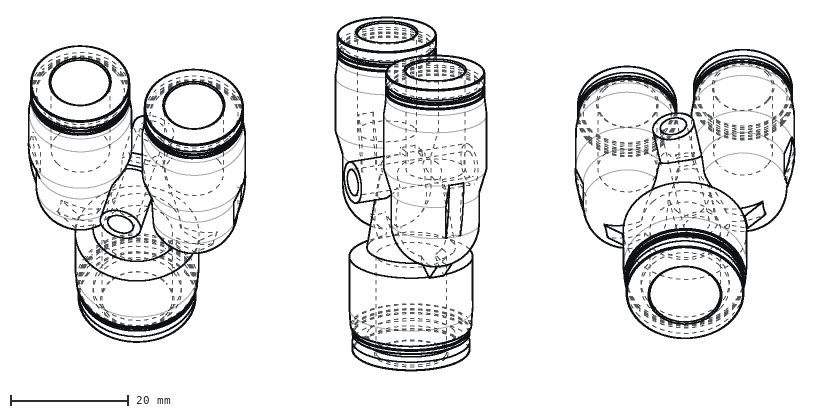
import cadquery as cq
import math

HEIGHT = 55.0
ARM_X = 10.0

NECK_DIA = 15.0
EDGE_BREAK = 0.15
SEAM_WIDTH = 0.2
SEAM_DEPTH = 0.1
MOUTH_CHAMFER = 0.25
BORE_DEPTH = 18.0

ARM_RING_DIA = 16.8
ARM_BORE_DIA = 10.0
ARM_CROWN = 0.45
ARM_RING_END = 2.3
ARM_COLLAR_START = 3.05
ARM_SEAM = 3.85
ARM_TAPER_START = 5.05

ARM_DIA = 17.5
ARM_LOWER_DIA = 15.0
ARM_TAPER_Z = 46.95
ARM_SHOULDER_TOP_Z = 37.25
ARM_SHOULDER_BASE_Z = 32.9
ARM_DOME_Z = 27.25

STEM_RING_DIA = 20.0
STEM_BORE_DIA = 12.0
STEM_CROWN = 0.65
STEM_RING_END = 2.25
STEM_COLLAR_START = 3.6
STEM_SEAM = 4.25
STEM_TAPER_START = 5.2

STEM_DIA = 21.0
STEM_END_DIA = 20.6
STEM_TAPER_Z = 8.15
STEM_SHOULDER_Z = 17.7
CONE_BASE_DIA = 15.0
CONE_BASE_Z = 19.3
CONE_TOP_DIA = 11.0
CONE_TOP_Z = 32.0

PIN_DIA = 7.1
PIN_HOLE_DIA = 4.5
PIN_LENGTH = 21.7
PIN_Z = 32.8

WEB_THICKNESS = 2.7
WEB_FOOT_X = 10.6
WEB_FOOT_Z = 17.6
WEB_FLANK_RISE = 2.9
WEB_EDGE_RADIUS = 38.0


def revolve_profile(profile):
    """Close a half profile, drawn as radius against height, and turn it about Z."""
    return profile.close().revolve(360, (0, 0, 0), (0, 1, 0))


def port_mouth(ring_dia, bore_dia, crown, ring_end, collar_start, seam, taper_start):
    """Release ring, neck and seamed collar, with the mouth at Z = 0 and the depth along +Z."""
    ring_r = ring_dia / 2
    profile = (
        cq.Workplane("XZ")
        .lineTo(bore_dia / 2 + MOUTH_CHAMFER, 0)
        .lineTo(ring_r - EDGE_BREAK, crown)
        .lineTo(ring_r, crown + EDGE_BREAK)
        .lineTo(ring_r, ring_end)
        .lineTo(NECK_DIA / 2, ring_end)
        .lineTo(NECK_DIA / 2, collar_start)
        .lineTo(ring_r - EDGE_BREAK, collar_start)
        .lineTo(ring_r, collar_start + EDGE_BREAK)
        .lineTo(ring_r, seam)
        .lineTo(ring_r - SEAM_DEPTH, seam)
        .lineTo(ring_r - SEAM_DEPTH, seam + SEAM_WIDTH)
        .lineTo(ring_r, seam + SEAM_WIDTH)
        .lineTo(ring_r, taper_start)
        .lineTo(0, taper_start)
    )
    return revolve_profile(profile)


def port_bore(bore_dia):
    """Blind bore with a chamfered mouth at Z = 0 and the depth along +Z."""
    bore_r = bore_dia / 2
    profile = (
        cq.Workplane("XZ")
        .lineTo(bore_r + MOUTH_CHAMFER, 0)
        .lineTo(bore_r, MOUTH_CHAMFER)
        .lineTo(bore_r, BORE_DEPTH)
        .lineTo(0, BORE_DEPTH)
    )
    return revolve_profile(profile)


def to_arm(shape, side):
    """Turn a port shape to face +Z and move it to the arm on the given side."""
    return shape.rotate((0, 0, 0), (1, 0, 0), 180).translate((side * ARM_X, 0, HEIGHT))


def arm_body():
    """Tapered barrel, shoulder and domed lower end, on the Z axis."""
    arm_r = ARM_DIA / 2
    lower_r = ARM_LOWER_DIA / 2
    top_z = HEIGHT - ARM_TAPER_START
    dome_mid = lower_r * math.sqrt(0.5)
    profile = (
        cq.Workplane("XZ")
        .moveTo(0, top_z)
        .lineTo(ARM_RING_DIA / 2, top_z)
        .lineTo(arm_r, ARM_TAPER_Z)
        .lineTo(arm_r, ARM_SHOULDER_TOP_Z)
        .lineTo(lower_r, ARM_SHOULDER_BASE_Z)
        .lineTo(lower_r, ARM_DOME_Z)
        .threePointArc((dome_mid, ARM_DOME_Z - dome_mid), (0, ARM_DOME_Z - lower_r))
    )
    return revolve_profile(profile)


def stem_body():
    """Tapered barrel and shoulder, with a cone rising to the cross pin."""
    stem_r = STEM_DIA / 2
    profile = (
        cq.Workplane("XZ")
        .moveTo(0, STEM_TAPER_START)
        .lineTo(STEM_END_DIA / 2, STEM_TAPER_START)
        .lineTo(stem_r, STEM_TAPER_Z)
        .lineTo(stem_r, STEM_SHOULDER_Z)
        .lineTo(CONE_BASE_DIA / 2, CONE_BASE_Z)
        .lineTo(CONE_TOP_DIA / 2, CONE_TOP_Z)
        .lineTo(0, CONE_TOP_Z)
    )
    return revolve_profile(profile)


def half_web(side):
    """Plate from the centre plane to one arm, with a curved outer edge and a 45 degree flank."""
    top_x = ARM_X + ARM_DIA / 2

    def edge_x(z):
        drop = ARM_SHOULDER_TOP_Z - z
        return top_x - WEB_EDGE_RADIUS + math.sqrt(WEB_EDGE_RADIUS**2 - drop**2)

    mid_z = (ARM_SHOULDER_TOP_Z + ARM_DOME_Z) / 2
    return (
        cq.Workplane("XZ")
        .moveTo(0, ARM_SHOULDER_TOP_Z)
        .lineTo(side * top_x, ARM_SHOULDER_TOP_Z)
        .threePointArc((side * edge_x(mid_z), mid_z), (side * edge_x(ARM_DOME_Z), ARM_DOME_Z))
        .lineTo(side * (WEB_FOOT_X + WEB_FLANK_RISE), WEB_FOOT_Z + WEB_FLANK_RISE)
        .lineTo(side * WEB_FOOT_X, WEB_FOOT_Z)
        .lineTo(0, WEB_FOOT_Z)
        .close()
        .extrude(WEB_THICKNESS / 2, both=True)
    )


def cross_cylinder(dia):
    """Cylinder along Y through the crotch of the arms."""
    return cq.Workplane("XZ").center(0, PIN_Z).circle(dia / 2).extrude(PIN_LENGTH / 2, both=True)


stem_mouth = port_mouth(
    ring_dia=STEM_RING_DIA,
    bore_dia=STEM_BORE_DIA,
    crown=STEM_CROWN,
    ring_end=STEM_RING_END,
    collar_start=STEM_COLLAR_START,
    seam=STEM_SEAM,
    taper_start=STEM_TAPER_START,
)
arm_mouth = port_mouth(
    ring_dia=ARM_RING_DIA,
    bore_dia=ARM_BORE_DIA,
    crown=ARM_CROWN,
    ring_end=ARM_RING_END,
    collar_start=ARM_COLLAR_START,
    seam=ARM_SEAM,
    taper_start=ARM_TAPER_START,
)

result = stem_body()
for side in (-1, 1):
    result = result.union(arm_body().translate((side * ARM_X, 0, 0)))
for side in (-1, 1):
    result = result.union(half_web(side))
result = result.union(cross_cylinder(PIN_DIA)).union(stem_mouth)
for side in (-1, 1):
    result = result.union(to_arm(arm_mouth, side))

result = result.cut(port_bore(STEM_BORE_DIA)).cut(cross_cylinder(PIN_HOLE_DIA))
for side in (-1, 1):
    result = result.cut(to_arm(port_bore(ARM_BORE_DIA), side))